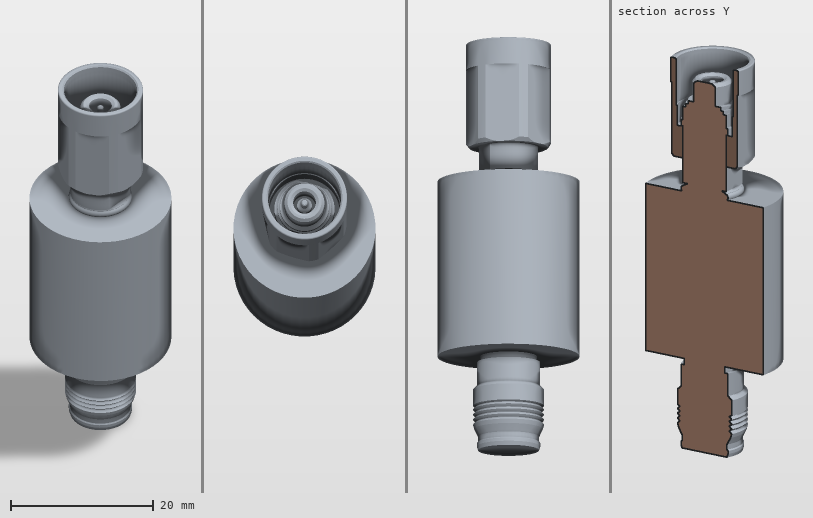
import cadquery as cq
import math


HOUSING_RADIUS = 10.0
HOUSING_LENGTH = 25.0

NECK_RADIUS = 4.0
NECK_LENGTH = 0.85
SLEEVE_RADIUS = 4.45
SLEEVE_LENGTH = 3.35
FLANGE_RADIUS = 5.0
FLANGE_TAPER = FLANGE_RADIUS - SLEEVE_RADIUS
FLANGE_LENGTH = 2.3
THREAD_PITCH = 0.73
THREAD_CREST_RADIUS = FLANGE_RADIUS
THREAD_ROOT_RADIUS = 4.65
THREAD_TURNS = 4
RUNOUT_RADIUS = 4.83
RUNOUT_LENGTH = 0.6
LEAD_IN_LENGTH = 1.1
GROOVE_RADIUS = 4.3
GROOVE_LENGTH = 0.75
LIP_RADIUS = 4.47
LIP_TAPER = LIP_RADIUS - GROOVE_RADIUS
LIP_LENGTH = 0.45
SOCKET_LENGTH = 13.42

BEAD_CENTER_HEIGHT = 0.36
BEAD_SECTION_RADIUS = 0.52
BEAD_RADIUS = 4.47
SHAFT_RADIUS = 4.23
SHAFT_HALF_FLATS = 3.62
FLATS_HEIGHT = 1.18
FOOT_RADIUS = 4.1
FOOT_HEIGHT = 0.9

NUT_RADIUS = 6.0
NUT_HALF_FLATS = 5.5
NUT_LENGTH = 14.77
COLLAR_LENGTH = 3.78
COLLAR_UNDERCUT = 0.2
NUT_GAP = 4.88
NUT_EDGE_FILLET = 0.2
NUT_FOOT_RADIUS = 5.55
NUT_FOOT_CHAMFER = 0.55
NUT_BORE_RADIUS = 5.15
NUT_BORE_DEPTH = 7.0
NUT_BORE_CHAMFER = 0.2
NUT_LOWER_BORE_RADIUS = 5.0
NUT_LOWER_BORE_DEPTH = 10.0
FLAT_COUNT = 6

HOUSING_TOP = HOUSING_LENGTH
NUT_BOTTOM = HOUSING_TOP + NUT_GAP
NUT_TOP = NUT_BOTTOM + NUT_LENGTH

NOSE_DEPTH = 2.75
NOSE_RADIUS = 2.4
NOSE_RIM_INNER_RADIUS = 2.02
NOSE_RIM_CHAMFER_DEPTH = 0.25
NOSE_SOCKET_RADIUS = 1.6
NOSE_SHOULDER_DEPTH = 3.2
NOSE_SHOULDER_RADIUS = 2.8
SHAFT_COLLAR_DEPTH = 6.0
SHAFT_COLLAR_RADIUS = 3.45
SHAFT_STEP_DEPTH = 7.0
SHAFT_STEP_RADIUS = 3.77
SHAFT_TOP_DEPTH = 6.5
RETAINER_RADIUS = 4.46
RETAINER_LENGTH = 1.0
PIN_TIP_DEPTH = 3.15
PIN_RADIUS = 0.45
PIN_TIP_CHAMFER = 0.15
PIN_BASE_RADIUS = 1.05
PIN_BASE_DEPTH = 5.0


def cylinder(radius, bottom, top):
    """Cylinder on the Z axis between two heights."""
    return cq.Workplane("XY").workplane(offset=bottom).circle(radius).extrude(top - bottom)


def revolved(profile):
    """Solid of revolution about Z from a closed (radius, height) outline."""
    return cq.Workplane("XZ").polyline(profile).close().revolve(360, (0, 0), (0, 1))


def make_socket():
    """Stepped and threaded lower end, hanging from the housing."""
    neck_end = -NECK_LENGTH
    sleeve_end = neck_end - SLEEVE_LENGTH
    taper_end = sleeve_end - FLANGE_TAPER
    flange_end = taper_end - FLANGE_LENGTH
    profile = [
        (0, 0),
        (NECK_RADIUS, 0),
        (NECK_RADIUS, neck_end),
        (SLEEVE_RADIUS, neck_end),
        (SLEEVE_RADIUS, sleeve_end),
        (FLANGE_RADIUS, taper_end),
        (FLANGE_RADIUS, flange_end),
    ]
    for turn in range(THREAD_TURNS):
        turn_top = flange_end - turn * THREAD_PITCH
        profile.append((THREAD_ROOT_RADIUS, turn_top - THREAD_PITCH / 4))
        profile.append((THREAD_CREST_RADIUS, turn_top - 3 * THREAD_PITCH / 4))
    last_crest = flange_end - (THREAD_TURNS - 1 / 4) * THREAD_PITCH
    thread_end = last_crest - RUNOUT_LENGTH
    groove_start = thread_end - LEAD_IN_LENGTH
    lip_start = groove_start - GROOVE_LENGTH
    lip_top = lip_start - LIP_TAPER
    lip_bottom = lip_top - LIP_LENGTH
    profile += [
        (RUNOUT_RADIUS, thread_end),
        (GROOVE_RADIUS, groove_start),
        (GROOVE_RADIUS, lip_start),
        (LIP_RADIUS, lip_top),
        (LIP_RADIUS, lip_bottom),
        (GROOVE_RADIUS, -SOCKET_LENGTH),
        (0, -SOCKET_LENGTH),
    ]
    return revolved(profile)


def make_bead():
    """Rounded bead on top of the housing, around the foot of the shaft."""
    bead_center = BEAD_RADIUS - BEAD_SECTION_RADIUS
    return (
        cq.Workplane("XZ")
        .center(bead_center, HOUSING_TOP + BEAD_CENTER_HEIGHT)
        .circle(BEAD_SECTION_RADIUS)
        .revolve(360, (-bead_center, 0), (-bead_center, 1))
    )


def make_shaft():
    """Shaft with flats facing -X and +X, a tapered foot and a disc that rests on the floor of the nut."""
    flats_bottom = HOUSING_TOP + FLATS_HEIGHT
    step_height = NUT_TOP - SHAFT_STEP_DEPTH
    shaft_top = NUT_TOP - SHAFT_TOP_DEPTH
    shaft = cylinder(SHAFT_RADIUS, flats_bottom, step_height)
    shaft = shaft.union(cylinder(SHAFT_STEP_RADIUS, step_height, shaft_top))
    flats = (
        cq.Workplane("XY")
        .workplane(offset=flats_bottom)
        .rect(2 * SHAFT_HALF_FLATS, 2 * SHAFT_RADIUS)
        .extrude(shaft_top - flats_bottom)
    )
    foot = revolved(
        [
            (0, HOUSING_TOP),
            (FOOT_RADIUS, HOUSING_TOP),
            (FOOT_RADIUS, HOUSING_TOP + FOOT_HEIGHT),
            (SHAFT_HALF_FLATS, flats_bottom),
            (0, flats_bottom),
        ]
    )
    nut_floor = NUT_TOP - NUT_LOWER_BORE_DEPTH
    retainer = cylinder(RETAINER_RADIUS, nut_floor, nut_floor + RETAINER_LENGTH)
    return shaft.intersect(flats).union(foot).union(retainer)


def make_nose():
    """Hollow nose on top of the shaft with the stepped contact pin in its socket."""
    shaft_top = NUT_TOP - SHAFT_TOP_DEPTH
    socket_floor = NUT_TOP - SHAFT_COLLAR_DEPTH
    collar = cylinder(SHAFT_COLLAR_RADIUS, shaft_top, socket_floor)
    nose_top = NUT_TOP - NOSE_DEPTH
    nose = revolved(
        [
            (NOSE_SOCKET_RADIUS, shaft_top),
            (NOSE_SHOULDER_RADIUS, shaft_top),
            (NOSE_SHOULDER_RADIUS, NUT_TOP - NOSE_SHOULDER_DEPTH),
            (NOSE_RADIUS, nose_top),
            (NOSE_RIM_INNER_RADIUS, nose_top),
            (NOSE_SOCKET_RADIUS, nose_top - NOSE_RIM_CHAMFER_DEPTH),
        ]
    )
    pin_base = cylinder(PIN_BASE_RADIUS, socket_floor, NUT_TOP - PIN_BASE_DEPTH)
    pin = cylinder(PIN_RADIUS, socket_floor, NUT_TOP - PIN_TIP_DEPTH)
    pin = pin.faces(">Z").chamfer(PIN_TIP_CHAMFER)
    return collar.union(nose).union(pin_base).union(pin)


def make_adapter():
    """Housing with its socket, bead, shaft and nose as one body."""
    housing = cylinder(HOUSING_RADIUS, 0, HOUSING_TOP)
    for portion in (make_socket(), make_bead(), make_shaft(), make_nose()):
        housing = housing.union(portion)
    return housing


def make_nut():
    """Coupling nut: round collar above, rounded hexagon below, stepped bore through."""
    blank = revolved(
        [
            (0, NUT_BOTTOM),
            (NUT_FOOT_RADIUS, NUT_BOTTOM),
            (NUT_RADIUS, NUT_BOTTOM + NUT_FOOT_CHAMFER),
            (NUT_RADIUS, NUT_TOP),
            (0, NUT_TOP),
        ]
    )
    blank = blank.faces(">Z").edges().fillet(NUT_EDGE_FILLET)
    collar_bottom = NUT_TOP - COLLAR_LENGTH
    hexagon = (
        cq.Workplane("XY")
        .workplane(offset=NUT_BOTTOM)
        .transformed(rotate=(0, 0, 180 / FLAT_COUNT))
        .polygon(FLAT_COUNT, 2 * NUT_HALF_FLATS / math.cos(math.pi / FLAT_COUNT))
        .extrude(collar_bottom + COLLAR_UNDERCUT - NUT_BOTTOM)
    )
    collar = revolved(
        [
            (0, collar_bottom + COLLAR_UNDERCUT),
            (NUT_HALF_FLATS, collar_bottom + COLLAR_UNDERCUT),
            (NUT_RADIUS, collar_bottom),
            (NUT_RADIUS, NUT_TOP),
            (0, NUT_TOP),
        ]
    )
    envelope = hexagon.union(collar)
    bore_bottom = NUT_TOP - NUT_BORE_DEPTH
    ledge = NUT_TOP - NUT_LOWER_BORE_DEPTH
    bore = revolved(
        [
            (0, NUT_BOTTOM),
            (SHAFT_RADIUS, NUT_BOTTOM),
            (SHAFT_RADIUS, ledge),
            (NUT_LOWER_BORE_RADIUS, ledge),
            (NUT_LOWER_BORE_RADIUS, bore_bottom),
            (NUT_BORE_RADIUS, bore_bottom),
            (NUT_BORE_RADIUS, NUT_TOP - NUT_BORE_CHAMFER),
            (NUT_BORE_RADIUS + NUT_BORE_CHAMFER, NUT_TOP),
            (0, NUT_TOP),
        ]
    )
    return blank.intersect(envelope).cut(bore)


adapter = make_adapter()
nut = make_nut()

result = cq.Compound.makeCompound([adapter.val(), nut.val()])